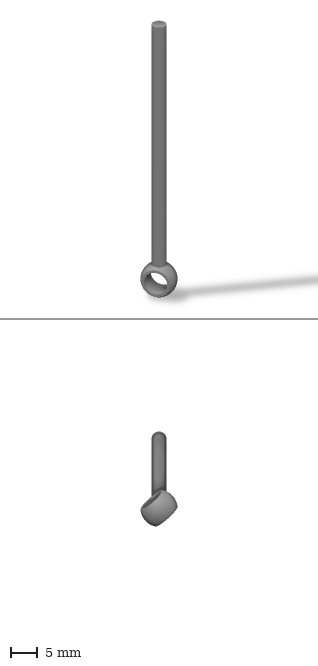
import cadquery as cq

total_height = 57.9
ball_diameter = 7.0
eye_width = 4.2
bore_diameter = 4.6
rod_diameter = 2.85

ball_radius = ball_diameter / 2
rod_top = total_height - ball_radius

ball = cq.Workplane("XY").sphere(ball_radius)
trim = cq.Workplane("XY").box(ball_diameter, eye_width, ball_diameter)
eye = ball.intersect(trim)

rod = cq.Workplane("XY").circle(rod_diameter / 2).extrude(rod_top)

bore = (
    cq.Workplane("XZ")
    .circle(bore_diameter / 2)
    .extrude(eye_width, both=True)
)

result = eye.union(rod).cut(bore)